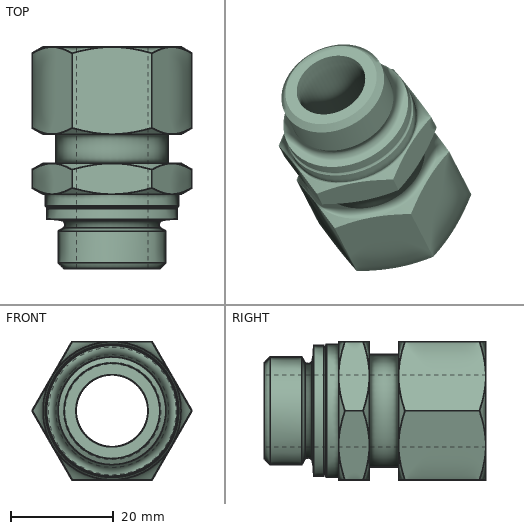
import math

import cadquery as cq


stud_chamfer_end = 1.16
stud_end = 7.3
seal_face_start = 9.54
seal_front = 9.65
seal_back = 11.65
flange_front = 11.95
flange_back = 14.5
body_hex_length = 6.0
collar_length = 5.7
nut_length = 17.0
nut_start = flange_back + body_hex_length + collar_length
total_length = nut_start + nut_length

bore_radius = 7.0
stud_radius = 10.5
stud_tip_radius = 9.32
seal_face_inner_radius = 10.7
seal_radius = 12.75
seal_groove_radius = 12.45
flange_radius = 13.0
flange_chamfer = 0.25
collar_radius = 11.0

relief_flank_angle = 30.0
relief_bottom_y = 8.6
relief_bottom_radius = 9.2
relief_start_radius = 9.35
relief_end_y = 9.3
relief_end_radius = 9.5
relief_start = stud_end + (stud_radius - relief_start_radius) * math.tan(math.radians(relief_flank_angle))

across_flats = 27.0
across_corners = across_flats / math.cos(math.radians(30))
hex_face_clearance = 0.03
hex_face_radius = across_flats / 2 - hex_face_clearance
hex_chamfer_angle = 30.0
envelope_margin = 1.0


def revolve_about_y(profile):
    """Revolve a closed (radius, y) profile about the fitting axis."""
    return profile.close().revolve(360, (0, 0, 0), (0, 1, 0))


def cylinder(radius, start, length):
    """Solid cylinder on the fitting axis."""
    return cq.Workplane("XZ", origin=(0, start, 0)).circle(radius).extrude(-length)


def chamfered_hexagon(start, length):
    """Hexagonal prism with corners on X and conical chamfers on both ends."""
    prism = cq.Workplane("XZ", origin=(0, start, 0)).polygon(6, across_corners).extrude(-length)
    end = start + length
    cone_radius = across_corners / 2 + envelope_margin
    setback = (cone_radius - hex_face_radius) * math.tan(math.radians(hex_chamfer_angle))
    envelope = revolve_about_y(
        cq.Workplane("XY")
        .moveTo(0, start)
        .lineTo(hex_face_radius, start)
        .lineTo(cone_radius, start + setback)
        .lineTo(cone_radius, end - setback)
        .lineTo(hex_face_radius, end)
        .lineTo(0, end)
    )
    return prism.intersect(envelope)


def stud_with_flange():
    """Stud, relief groove, seal ring and flange as one turned body."""
    rise = relief_start_radius - relief_bottom_radius
    run = relief_bottom_y - relief_start
    front_arc_radius = (rise**2 + run**2) / (2 * rise)
    return revolve_about_y(
        cq.Workplane("XY")
        .moveTo(0, 0)
        .lineTo(stud_tip_radius, 0)
        .lineTo(stud_radius, stud_chamfer_end)
        .lineTo(stud_radius, stud_end)
        .lineTo(relief_start_radius, relief_start)
        .radiusArc((relief_bottom_radius, relief_bottom_y), front_arc_radius)
        .tangentArcPoint((relief_end_radius, relief_end_y), relative=False)
        .lineTo(seal_face_inner_radius, seal_face_start)
        .lineTo(seal_radius, seal_front)
        .lineTo(seal_radius, seal_back)
        .lineTo(seal_groove_radius, seal_back)
        .lineTo(seal_groove_radius, flange_front)
        .lineTo(flange_radius - flange_chamfer, flange_front)
        .lineTo(flange_radius, flange_front + flange_chamfer)
        .lineTo(flange_radius, flange_back)
        .lineTo(0, flange_back)
    )


body_hex = chamfered_hexagon(flange_back, body_hex_length)
collar = cylinder(collar_radius, flange_back + body_hex_length, collar_length)
nut = chamfered_hexagon(nut_start, nut_length)
bore = cylinder(bore_radius, 0, total_length)

result = stud_with_flange().union(body_hex).union(collar).union(nut).cut(bore)